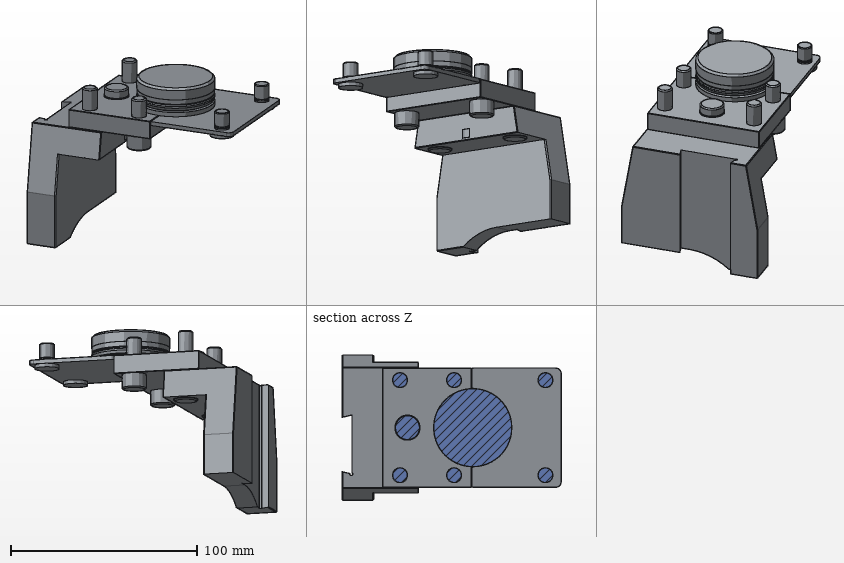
import cadquery as cq
import math

BRACKET_HEIGHT = 67.0
WALL_THICKNESS = 17.0
ARM_LENGTH = 41.0
ARM_THICKNESS = 15.0
FLANK_KINK_HEIGHT = 29.5
BRACKET_HALF_WIDTH = 39.0
BRACKET_TOP_HALF_WIDTH = 32.5
EDGE_BREAK = 0.4
WALL_BACK_CHAMFER = 0.7

FOOT_STEP = 8.0
HOLLOW_START_Y = 2.0
HOLLOW_END_Y = -20.7

SLOT_DEPTH = 5.2
SLOT_MOUTH_RIGHT_Y = -23.6
SLOT_MOUTH_LEFT_Y = 5.5
SLOT_WALL_ANGLE = 13.0
SLOT_RELIEF_RADIUS = 0.8

PLATE_HALF_WIDTH = 32.0
PLATE_START_X = 21.5
PLATE_END_X = 69.5
PLATE_THICKNESS = 10.0
PLATE_TOP = BRACKET_HEIGHT + PLATE_THICKNESS
PLATE_EDGE_BREAK = 0.3
THIN_PLATE_END_X = 117.5
THIN_PLATE_THICKNESS = 2.2
THIN_OUTER_CORNER_RADIUS = 3.0
THIN_INNER_CORNER_RADIUS = 0.8

SCREW_Y = 25.5
SHANK_DIAMETER = 8.0
SCREW_HEAD_DIAMETER = 13.0
SCREW_HEAD_HEIGHT = 8.0
SCREW_HEAD_CHAMFER = 0.7
SCREW_TIP_CHAMFER = 0.7
PIN_TIP_CHAMFER = 0.5
ARM_SCREW_X = 31.0
ARM_SCREW_HEAD_BOTTOM = 51.0
ARM_SCREW_LENGTH = 30.0
PLATE_SCREW_X = 60.0
PLATE_SCREW_LENGTH = 20.0
PIN_X = 109.0
PIN_TOP = PLATE_TOP + 9.5
PIN_HEAD_HEIGHT = 1.9
PIN_NECK_DIAMETER = 7.0
PIN_NECK_BOTTOM = PLATE_TOP + 0.8
PIN_NECK_TOP = PLATE_TOP + 1.6

BUTTON_X = 35.0
BUTTON_DIAMETER = 13.0
BUTTON_FLANGE_DIAMETER = 13.5
BUTTON_FLANGE_HEIGHT = 0.6
BUTTON_HEIGHT = 5.0
BUTTON_CHAMFER = 0.7
INSERT_BOTTOM = 53.4
INSERT_TOP = 58.1

KNOB_X = 70.0
KNOB_RADIUS = 42.0 / 2
KNOB_BAND_RADIUS = 41.8 / 2
KNOB_NECK_RADIUS = 37.0 / 2
KNOB_TOP = 93.0
KNOB_TOP_CHAMFER = 1.2
KNOB_BAND_TOP = 86.5
KNOB_GROOVE_TOP = 83.9
KNOB_GROOVE_BOTTOM = 83.4
KNOB_GROOVE_DEPTH = 0.4
KNOB_RIM_TOP = 82.7
KNOB_RIM_BOTTOM = 81.8
KNOB_UNDERSIDE = 80.3
KNOB_UNDERSIDE_CHAMFER = 0.5
KNOB_BASE_TOP = 79.4


def cylinder(x, y, bottom, top, diameter):
    return cq.Workplane("XY", origin=(x, y, bottom)).circle(diameter / 2).extrude(top - bottom)


def box_between(x_start, x_end, half_width, bottom, top):
    return (
        cq.Workplane("XY", origin=((x_start + x_end) / 2, 0, bottom))
        .rect(x_end - x_start, 2 * half_width)
        .extrude(top - bottom)
    )


def make_bracket_blank():
    arm_bottom = BRACKET_HEIGHT - ARM_THICKNESS
    side = (
        cq.Workplane("XZ")
        .polyline([
            (0, 0),
            (WALL_THICKNESS, 0),
            (WALL_THICKNESS, arm_bottom),
            (ARM_LENGTH, arm_bottom),
            (ARM_LENGTH, BRACKET_HEIGHT),
            (0, BRACKET_HEIGHT),
        ])
        .close()
        .extrude(BRACKET_HALF_WIDTH, both=True)
    )
    flanks = (
        cq.Workplane("YZ")
        .polyline([
            (-BRACKET_HALF_WIDTH, 0),
            (BRACKET_HALF_WIDTH, 0),
            (BRACKET_HALF_WIDTH, FLANK_KINK_HEIGHT),
            (BRACKET_TOP_HALF_WIDTH, BRACKET_HEIGHT),
            (-BRACKET_TOP_HALF_WIDTH, BRACKET_HEIGHT),
            (-BRACKET_HALF_WIDTH, FLANK_KINK_HEIGHT),
        ])
        .close()
        .extrude(ARM_LENGTH)
    )
    blank = side.intersect(flanks)
    back_edge_box = cq.selectors.BoxSelector(
        (WALL_THICKNESS - EDGE_BREAK, -2 * BRACKET_HALF_WIDTH, EDGE_BREAK),
        (WALL_THICKNESS + EDGE_BREAK, 2 * BRACKET_HALF_WIDTH, arm_bottom - EDGE_BREAK),
    )
    return (
        blank.edges(back_edge_box)
        .chamfer(WALL_BACK_CHAMFER)
        .faces("<X or >X or >Z or <Z")
        .edges()
        .chamfer(EDGE_BREAK)
    )


def make_foot_hollow():
    run = HOLLOW_START_Y - HOLLOW_END_Y
    radius = (run**2 + FOOT_STEP**2) / (2 * FOOT_STEP)
    half_angle = math.asin(run / radius) / 2
    middle = (
        HOLLOW_START_Y - radius * math.sin(half_angle),
        FOOT_STEP - radius * (1 - math.cos(half_angle)),
    )
    return (
        cq.Workplane("YZ")
        .moveTo(HOLLOW_END_Y, 0)
        .threePointArc(middle, (HOLLOW_START_Y, FOOT_STEP))
        .lineTo(BRACKET_HALF_WIDTH, FOOT_STEP)
        .lineTo(BRACKET_HALF_WIDTH, 0)
        .close()
        .extrude(WALL_THICKNESS)
    )


def make_slot():
    flare = SLOT_DEPTH * math.tan(math.radians(SLOT_WALL_ANGLE))
    dovetail = (
        cq.Workplane("XY")
        .polyline([
            (0, SLOT_MOUTH_RIGHT_Y),
            (SLOT_DEPTH, SLOT_MOUTH_RIGHT_Y - flare),
            (SLOT_DEPTH, SLOT_MOUTH_LEFT_Y + flare),
            (0, SLOT_MOUTH_LEFT_Y),
        ])
        .close()
        .extrude(BRACKET_HEIGHT)
    )
    relief = cylinder(
        SLOT_DEPTH - SLOT_RELIEF_RADIUS / 2,
        SLOT_MOUTH_RIGHT_Y - flare,
        0,
        BRACKET_HEIGHT,
        2 * SLOT_RELIEF_RADIUS,
    )
    return dovetail.union(relief)


def make_bracket():
    return make_bracket_blank().cut(make_foot_hollow()).cut(make_slot())


def make_thick_plate():
    plate = box_between(PLATE_START_X, PLATE_END_X, PLATE_HALF_WIDTH, BRACKET_HEIGHT, PLATE_TOP)
    return plate.edges().chamfer(PLATE_EDGE_BREAK)


def make_thin_plate():
    bottom = PLATE_TOP - THIN_PLATE_THICKNESS
    plate = box_between(PLATE_END_X, THIN_PLATE_END_X, PLATE_HALF_WIDTH, bottom, PLATE_TOP)
    knob_cutout = cylinder(KNOB_X, 0, bottom, PLATE_TOP, 2 * KNOB_RADIUS)
    return (
        plate.cut(knob_cutout)
        .edges("|Z and >X")
        .fillet(THIN_OUTER_CORNER_RADIUS)
        .edges("|Z and <X")
        .fillet(THIN_INNER_CORNER_RADIUS)
    )


def make_socket_screw(x, y, head_bottom, length):
    head_top = head_bottom + SCREW_HEAD_HEIGHT
    head = cylinder(x, y, head_bottom, head_top, SCREW_HEAD_DIAMETER).faces("<Z").chamfer(SCREW_HEAD_CHAMFER)
    shank = cylinder(x, y, head_top, head_top + length, SHANK_DIAMETER).faces(">Z").chamfer(SCREW_TIP_CHAMFER)
    return head.union(shank)


def make_pin(x, y):
    head_top = PLATE_TOP - THIN_PLATE_THICKNESS
    head = cylinder(x, y, head_top - PIN_HEAD_HEIGHT, head_top, SCREW_HEAD_DIAMETER)
    root = cylinder(x, y, head_top, PIN_NECK_BOTTOM, SHANK_DIAMETER)
    neck = cylinder(x, y, PIN_NECK_BOTTOM, PIN_NECK_TOP, PIN_NECK_DIAMETER)
    shank = cylinder(x, y, PIN_NECK_TOP, PIN_TOP, SHANK_DIAMETER).faces(">Z").chamfer(PIN_TIP_CHAMFER)
    return head.union(root).union(neck).union(shank)


def make_button():
    flange = cylinder(BUTTON_X, 0, PLATE_TOP, PLATE_TOP + BUTTON_FLANGE_HEIGHT, BUTTON_FLANGE_DIAMETER)
    body = cylinder(BUTTON_X, 0, PLATE_TOP, PLATE_TOP + BUTTON_HEIGHT, BUTTON_DIAMETER)
    return flange.union(body.faces(">Z").chamfer(BUTTON_CHAMFER))


def make_knob():
    base_bottom = PLATE_TOP - THIN_PLATE_THICKNESS
    return (
        cq.Workplane("XZ", origin=(KNOB_X, 0, 0))
        .polyline([
            (0, base_bottom),
            (KNOB_RADIUS, base_bottom),
            (KNOB_RADIUS, KNOB_BASE_TOP),
            (KNOB_NECK_RADIUS, KNOB_BASE_TOP),
            (KNOB_NECK_RADIUS, KNOB_UNDERSIDE),
            (KNOB_RADIUS - KNOB_UNDERSIDE_CHAMFER, KNOB_UNDERSIDE),
            (KNOB_RADIUS, KNOB_RIM_BOTTOM),
            (KNOB_RADIUS, KNOB_RIM_TOP),
            (KNOB_RADIUS - KNOB_GROOVE_DEPTH, KNOB_GROOVE_BOTTOM),
            (KNOB_RADIUS - KNOB_GROOVE_DEPTH, KNOB_GROOVE_TOP),
            (KNOB_BAND_RADIUS, KNOB_GROOVE_TOP),
            (KNOB_BAND_RADIUS, KNOB_BAND_TOP),
            (KNOB_RADIUS, KNOB_BAND_TOP),
            (KNOB_RADIUS, KNOB_TOP - KNOB_TOP_CHAMFER),
            (KNOB_RADIUS - KNOB_TOP_CHAMFER, KNOB_TOP),
            (0, KNOB_TOP),
        ])
        .close()
        .revolve(360, (0, 0, 0), (0, 1, 0))
    )


def make_part():
    part = make_bracket().union(make_thick_plate()).union(make_thin_plate()).union(make_knob())
    for y in (-SCREW_Y, SCREW_Y):
        part = part.union(make_socket_screw(ARM_SCREW_X, y, ARM_SCREW_HEAD_BOTTOM, ARM_SCREW_LENGTH))
        plate_head_bottom = BRACKET_HEIGHT - SCREW_HEAD_HEIGHT
        part = part.union(make_socket_screw(PLATE_SCREW_X, y, plate_head_bottom, PLATE_SCREW_LENGTH))
        part = part.union(make_pin(PIN_X, y))
    part = part.union(make_button())
    return part.union(cylinder(BUTTON_X, 0, INSERT_BOTTOM, INSERT_TOP, BUTTON_DIAMETER))


result = make_part()